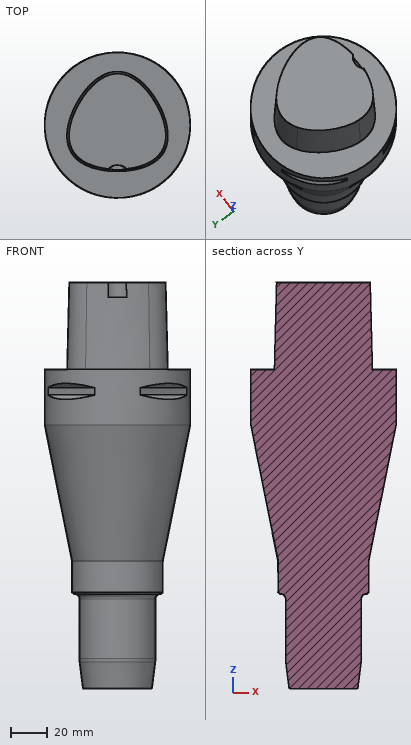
import cadquery as cq
import math

total_length = 223.0

shank_length = 47.7
shank_mean_radius = 27.5
shank_taper = 1 / 40
lobe_height = 2.0
lobe_half_angle = 25.0
flank_angle = 120.0 - 2 * lobe_half_angle
points_per_face = 9

notch_depth = 8.3
notch_radius = 6.7
notch_floor_y = -21.9

collar_radius = 80.0 / 2
collar_bottom_z = 145.0
neck_radius = 50.0 / 2
neck_top_z = 70.2
neck_bottom_z = 52.0
neck_top_fillet = 3.3
neck_edge_chamfer = 1.1
pilot_radius = 42.0 / 2
pilot_fillet = 2.5
pilot_bottom_z = 15.8
pilot_blend = 15.5
tip_radius = 19.0
tip_fillet = 1.0

groove_count = 4
first_groove_angle = 45.0
groove_center_z = 163.2
groove_floor_distance = 35.7
groove_floor_height = 3.8
groove_flank_angle = 30.0
groove_overshoot = 2.2

collar_top_z = total_length - shank_length
selection_margin = 0.02


def shank_point(mean_radius, angle):
    """Point of the three-lobed trochoid, with the angle measured from the +Y lobe."""
    t = math.radians(angle)
    x = -mean_radius * math.sin(t) + lobe_height * math.sin(2 * t)
    y = mean_radius * math.cos(t) + lobe_height * math.cos(2 * t)
    return x, y


def shank_wire(mean_radius, z):
    """Closed outline made of three lobes alternating with three flanks."""
    edges = []
    start = -lobe_half_angle
    for span in (2 * lobe_half_angle, flank_angle) * 3:
        angles = [start + span * i / (points_per_face - 1) for i in range(points_per_face)]
        points = [cq.Vector(*shank_point(mean_radius, angle), z) for angle in angles]
        edges.append(cq.Edge.makeSpline(points))
        start += span
    return cq.Wire.assembleEdges(edges)


def make_shank():
    end_radius = shank_mean_radius - shank_taper * shank_length
    base = shank_wire(shank_mean_radius, collar_top_z)
    end = shank_wire(end_radius, total_length)
    shank = cq.Workplane(cq.Solid.makeLoft([base, end], True))
    notch = (
        cq.Workplane("XY", origin=(0, 0, total_length - notch_depth))
        .center(0, notch_floor_y - notch_radius)
        .circle(notch_radius)
        .extrude(notch_depth)
    )
    return shank.cut(notch)


def ring_edge(radius, z):
    """Selector for the circular edge of the given radius and height."""
    reach = radius + selection_margin
    low = (-reach, -reach, z - selection_margin)
    high = (reach, reach, z + selection_margin)
    return cq.selectors.BoxSelector(low, high, boundingbox=True)


def make_body():
    body = (
        cq.Workplane("XZ")
        .moveTo(0, 0)
        .lineTo(tip_radius, 0)
        .lineTo(pilot_radius, pilot_bottom_z)
        .lineTo(pilot_radius, neck_bottom_z)
        .lineTo(neck_radius, neck_bottom_z)
        .lineTo(neck_radius, neck_top_z)
        .lineTo(collar_radius, collar_bottom_z)
        .lineTo(collar_radius, collar_top_z)
        .lineTo(0, collar_top_z)
        .close()
        .revolve(360, (0, 0, 0), (0, 1, 0))
    )
    body = body.edges(ring_edge(pilot_radius, neck_bottom_z)).fillet(pilot_fillet)
    body = body.edges(ring_edge(neck_radius, neck_bottom_z)).chamfer(neck_edge_chamfer)
    body = body.edges(ring_edge(neck_radius, neck_top_z)).fillet(neck_top_fillet)
    body = body.edges(ring_edge(pilot_radius, pilot_bottom_z)).fillet(pilot_blend)
    return body.edges(ring_edge(tip_radius, 0)).fillet(tip_fillet)


def make_groove():
    """Straight trapezoidal groove along Y, widening outward on the +X side."""
    mouth_distance = collar_radius + groove_overshoot
    flare = (mouth_distance - groove_floor_distance) * math.tan(math.radians(groove_flank_angle))
    half_floor = groove_floor_height / 2
    half_mouth = half_floor + flare
    return (
        cq.Workplane("XZ", origin=(0, 0, groove_center_z))
        .polyline([
            (groove_floor_distance, -half_floor),
            (mouth_distance, -half_mouth),
            (mouth_distance, half_mouth),
            (groove_floor_distance, half_floor),
        ])
        .close()
        .extrude(collar_radius, both=True)
    )


result = make_body()
for i in range(groove_count):
    groove_angle = first_groove_angle + i * 360 / groove_count
    result = result.cut(make_groove().rotate((0, 0, 0), (0, 0, 1), groove_angle))
result = result.union(make_shank())